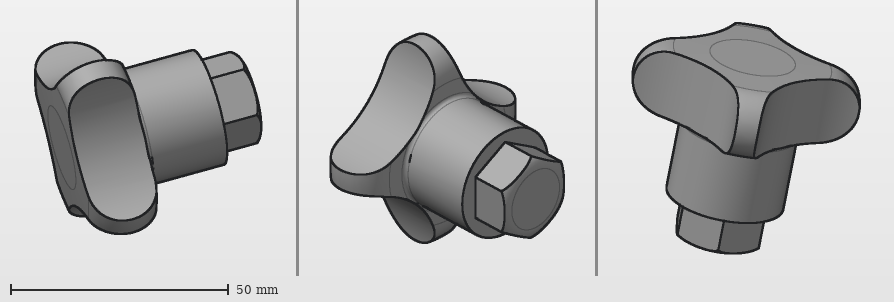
import cadquery as cq
import math

handle_radius = 26.4
lobe_round_start = 18.5
front_disc_radius = 10.0
face_slope_drop = 0.2
handle_back = 16.55

lobe_count = 4
scallop_radius = 25.5
scallop_center_distance = 39.65

hub_radius = 13.7
hub_end = 35.45
hub_fillet = 1.0

hexagon_sides = 6
hex_across_flats = 18.95
stud_end = 45.5
stud_face_radius = 7.6
stud_edge_radius = 4.6


def make_turned_blank():
    """Handle disc with a rounded rim, and the hub behind it, as one turned shape."""
    rim_front = face_slope_drop
    rim_back = handle_back - face_slope_drop
    rim_middle = (rim_front + rim_back) / 2
    fillet_middle = hub_fillet * (1 - math.cos(math.radians(45)))
    profile = (
        cq.Workplane("XY")
        .moveTo(0, 0)
        .lineTo(front_disc_radius, 0)
        .lineTo(lobe_round_start, rim_front)
        .threePointArc((handle_radius, rim_middle), (lobe_round_start, rim_back))
        .lineTo(hub_radius + hub_fillet, handle_back)
        .threePointArc(
            (hub_radius + fillet_middle, handle_back + fillet_middle),
            (hub_radius, handle_back + hub_fillet),
        )
        .lineTo(hub_radius, hub_end)
        .lineTo(0, hub_end)
        .close()
    )
    return profile.revolve(360, (0, 0, 0), (0, 1, 0))


def make_scallops():
    """Round cutters spaced evenly between the lobes."""
    return (
        cq.Workplane("XZ")
        .polarArray(scallop_center_distance, 180 / lobe_count, 360, lobe_count)
        .circle(scallop_radius)
        .extrude(-hub_end)
    )


def make_knob():
    return make_turned_blank().cut(make_scallops()).solids()


def make_stud():
    """Hexagon with two flats facing +X and -X, and a turned round on its free end."""
    corner_radius = hex_across_flats / 2 / math.cos(math.pi / hexagon_sides)
    round_angle = math.asin((corner_radius - stud_face_radius) / stud_edge_radius)
    round_depth = stud_edge_radius * (1 - math.cos(round_angle))
    round_middle = (
        stud_face_radius + stud_edge_radius * math.sin(round_angle / 2),
        stud_end - stud_edge_radius * (1 - math.cos(round_angle / 2)),
    )
    hexagon = (
        cq.Workplane("XZ", origin=(0, hub_end, 0))
        .transformed(rotate=(0, 0, 90))
        .polygon(hexagon_sides, 2 * corner_radius)
        .extrude(hub_end - stud_end)
    )
    round_envelope = (
        cq.Workplane("XY")
        .moveTo(0, hub_end)
        .lineTo(corner_radius, hub_end)
        .lineTo(corner_radius, stud_end - round_depth)
        .threePointArc(round_middle, (stud_face_radius, stud_end))
        .lineTo(0, stud_end)
        .close()
        .revolve(360, (0, 0, 0), (0, 1, 0))
    )
    return hexagon.intersect(round_envelope).solids()


knob = make_knob()
stud = make_stud()

result = cq.Compound.makeCompound([knob.val(), stud.val()])